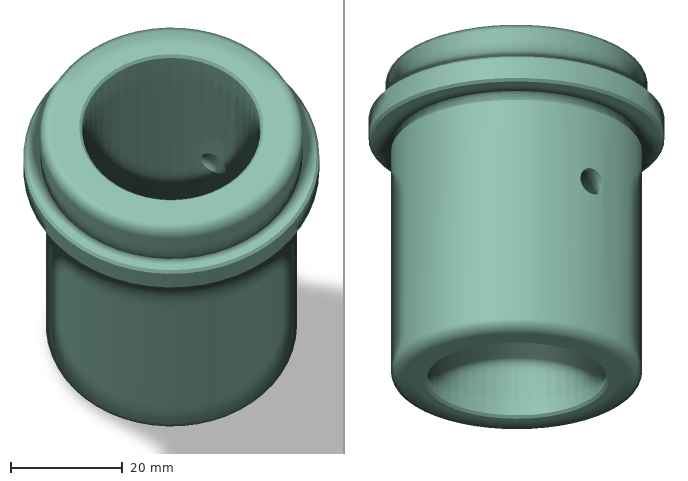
import cadquery as cq
import math

height = 60.0
bore_diameter = 32.0
bore_chamfer = 0.5

body_diameter = 45.0
head_diameter = 47.0
flange_diameter = 53.0
flange_bottom = 47.0
flange_thickness = 5.0
flange_chamfer = 0.5
edge_radius = 2.0

groove_height = 2.0
groove_depth = 0.6
groove_deepest_drop = 0.6

hole_diameter = 5.0
hole_height = 31.0

flange_top = flange_bottom + flange_thickness
bore_radius = bore_diameter / 2
body_radius = body_diameter / 2
head_radius = head_diameter / 2
flange_radius = flange_diameter / 2

groove_bottom = flange_bottom - groove_height
lower_arc_height = groove_height - groove_deepest_drop
groove_arc_radius = (lower_arc_height**2 + groove_depth**2) / (2 * groove_depth)
groove_floor_radius = body_radius - groove_depth
groove_top_radius = (
    groove_floor_radius + groove_arc_radius - math.sqrt(groove_arc_radius**2 - groove_deepest_drop**2)
)


def cylinder(radius, bottom, top):
    return cq.Workplane("XY").workplane(offset=bottom).circle(radius).extrude(top - bottom)


body = cylinder(body_radius, 0, groove_bottom).faces("<Z").edges().fillet(edge_radius)

neck = (
    cq.Workplane("XZ")
    .moveTo(0, groove_bottom)
    .lineTo(body_radius, groove_bottom)
    .threePointArc(
        (groove_floor_radius, flange_bottom - groove_deepest_drop),
        (groove_top_radius, flange_bottom),
    )
    .lineTo(0, flange_bottom)
    .close()
    .revolve(360, (0, 0), (0, 1))
)

flange = cylinder(flange_radius, flange_bottom, flange_top).edges().chamfer(flange_chamfer)
head = cylinder(head_radius, flange_top, height).faces(">Z").edges().fillet(edge_radius)

bore = cylinder(bore_radius, 0, height)
mouth = cq.Workplane("XY").circle(bore_radius + bore_chamfer).extrude(bore_chamfer, taper=45)
top_mouth = mouth.mirror("XY").translate((0, 0, height))

radial_hole = (
    cq.Workplane("XZ").center(0, hole_height).circle(hole_diameter / 2).extrude(-flange_radius)
)

sleeve = body.union(neck).union(flange).union(head)
result = sleeve.cut(bore).cut(mouth).cut(top_mouth).cut(radial_hole)